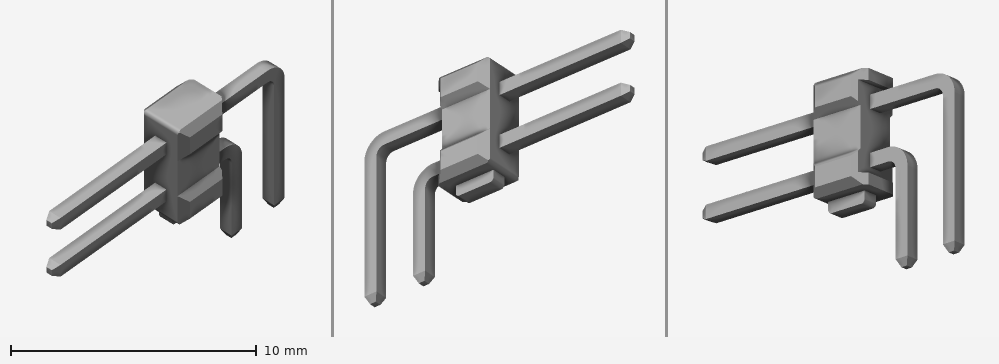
import cadquery as cq

pitch = 2.54

housing_width = pitch
housing_height = 2 * pitch
core_depth = 2.51
lip_depth = 0.3
lip_height = 0.52
lug_height = 1.6
lug_projection = 0.35
lug_front_bevel = 0.37
rear_bevel = 0.51
front_radius = 0.19

standoff_width = 0.71
standoff_length = 1.96
standoff_height = 0.54
standoff_setback = 0.29
standoff_radius = 0.18

pin_size = 0.63
pin_span = 13.74
pin_reach = 6.68
leg_drop = 3.75
bend_inner_radius = 0.41
tip_length = 0.35
tip_size = 0.3

half_width = housing_width / 2
half_height = housing_height / 2
half_core_width = half_width - lug_projection
housing_back = core_depth + lip_depth
row_heights = [pitch / 2, -pitch / 2]
upper_leg_y = pin_span - pin_reach - pin_size / 2


def make_side_profile():
    """Housing seen along X: rounded front edges and a recess between the rear lips."""
    recess_height = half_height - lip_height
    return (
        cq.Workplane("YZ")
        .moveTo(0, -half_height)
        .lineTo(housing_back, -half_height)
        .lineTo(housing_back, -recess_height)
        .lineTo(core_depth, -recess_height)
        .lineTo(core_depth, recess_height)
        .lineTo(housing_back, recess_height)
        .lineTo(housing_back, half_height)
        .lineTo(0, half_height)
        .close()
        .extrude(half_width, both=True)
        .edges("|X and <Y")
        .fillet(front_radius)
    )


def make_front_profile():
    """Housing seen along Y: a narrow waist between the bevelled lugs."""
    lug_inner_z = half_height - lug_height
    right_side = [
        (half_core_width, half_height),
        (half_width, half_height - lug_projection),
        (half_width, lug_inner_z + lug_projection),
        (half_core_width, lug_inner_z),
        (half_core_width, -lug_inner_z),
        (half_width, -lug_inner_z - lug_projection),
        (half_width, -half_height + lug_projection),
        (half_core_width, -half_height),
    ]
    left_side = [(-x, z) for x, z in reversed(right_side)]
    return cq.Workplane("XZ").polyline(right_side + left_side).close().extrude(-housing_back)


def make_plan_profile():
    """Housing seen along Z: a block with bevelled corners."""
    right_side = [
        (half_core_width, 0),
        (half_width, lug_front_bevel),
        (half_width, housing_back - rear_bevel),
        (half_width - rear_bevel, housing_back),
    ]
    left_side = [(-x, y) for x, y in reversed(right_side)]
    return cq.Workplane("XY").polyline(right_side + left_side).close().extrude(half_height, both=True)


def make_standoff():
    return (
        cq.Workplane("XY", origin=(0, standoff_setback, -half_height))
        .rect(standoff_width, standoff_length)
        .extrude(-standoff_height)
        .translate((0, standoff_length / 2, 0))
        .edges("|X and <Z")
        .fillet(standoff_radius)
    )


def make_pin_hole(row_z):
    return cq.Workplane("XY").box(pin_size, housing_back, pin_size).translate((0, housing_back / 2, row_z))


def make_housing():
    body = make_side_profile().intersect(make_front_profile()).intersect(make_plan_profile())
    body = body.union(make_standoff())
    for row_z in row_heights:
        body = body.cut(make_pin_hole(row_z))
    return body


def make_tip(base_plane):
    """Tapered pin end, growing along the normal of the given plane."""
    return (
        cq.Workplane(base_plane)
        .rect(pin_size, pin_size)
        .workplane(offset=tip_length)
        .rect(tip_size, tip_size)
        .loft()
    )


def make_pin(row_z, leg_y):
    """Square pin running back through the housing, then bent down into a leg."""
    bend_radius = bend_inner_radius + pin_size / 2
    front_y = -pin_reach + tip_length
    bottom_z = -half_height - leg_drop + tip_length
    path = (
        cq.Workplane("YZ")
        .moveTo(front_y, row_z)
        .lineTo(leg_y - bend_radius, row_z)
        .tangentArcPoint((leg_y, row_z - bend_radius), relative=False)
        .lineTo(leg_y, bottom_z)
    )
    front_plane = cq.Plane(origin=(0, front_y, row_z), xDir=(1, 0, 0), normal=(0, -1, 0))
    bottom_plane = cq.Plane(origin=(0, leg_y, bottom_z), xDir=(1, 0, 0), normal=(0, 0, -1))
    bar = cq.Workplane(front_plane).rect(pin_size, pin_size).sweep(path)
    return bar.union(make_tip(front_plane)).union(make_tip(bottom_plane))


housing = make_housing()

pins = [make_pin(row_z, upper_leg_y - row * pitch) for row, row_z in enumerate(row_heights)]

result = cq.Compound.makeCompound([housing.solids().val(), *[pin.solids().val() for pin in pins]])